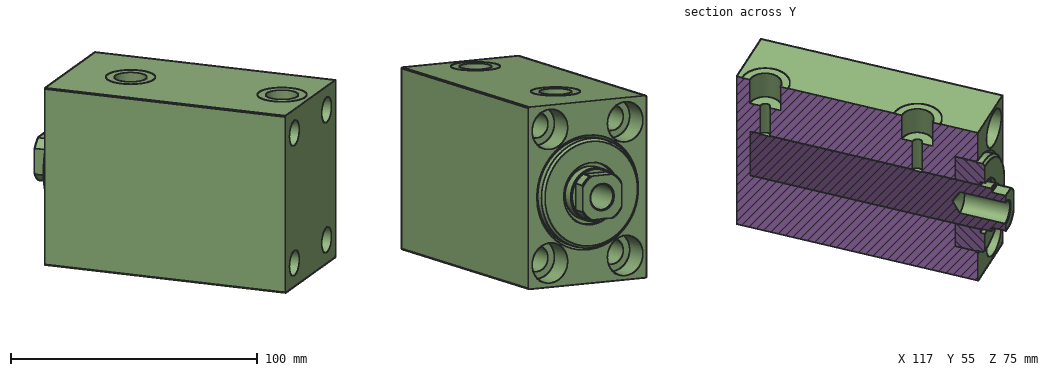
import cadquery as cq
import math


total_length = 117.0
housing_front_x = 12.0
housing_width = 55.0
housing_height = 75.0
housing_edge_chamfer = 0.5

mount_spacing_y = 35.0
mount_spacing_z = 55.0
mount_hole_diameter = 10.5
mount_counterbore_diameter = 16.5
mount_counterbore_depth = 11.0

port_positions_x = (38.5, 104.6)
port_spotface_diameter = 20.0
port_spotface_depth = 0.1
port_diameter = 13.2
port_depth = 12.0
port_passage_diameter = 4.0

gland_front_x = 9.0
gland_diameter = 45.0
gland_chamfer = 1.0
gland_depth_in_housing = 10.0
gland_recess_diameter = 25.5
gland_recess_depth = 2.0
gland_seat_chamfer = 1.0

rod_diameter = 22.0
rod_shoulder_x = 6.0
rod_chamfer = 0.5
rod_tip_chamfer = 0.4
rod_across_flats = 18.0
rod_end_clearance = 6.0
rod_hole_diameter = 10.4
rod_hole_depth = 20.0
rod_hole_chamfer = 0.4
drill_point_angle = 118.0

housing_length = total_length - housing_front_x
gland_back_x = housing_front_x + gland_depth_in_housing
rod_back_x = total_length - rod_end_clearance
rod_neck_diameter = rod_diameter - 2 * rod_chamfer


def cylinder_along_x(diameter, start_x, end_x):
    """Solid cylinder on the X axis."""
    return cq.Workplane("YZ", origin=(start_x, 0, 0)).circle(diameter / 2).extrude(end_x - start_x)


def chamfered_cylinder_along_x(diameter, start_x, end_x, chamfer):
    """Solid cylinder on the X axis with its front edge chamfered."""
    return cylinder_along_x(diameter, start_x, end_x).faces("<X").edges().chamfer(chamfer)


def cone_along_x(start_diameter, end_diameter, start_x, end_x):
    """Solid cone on the X axis; an end diameter of zero makes a point."""
    length = end_x - start_x
    cone = cq.Solid.makeCone(
        start_diameter / 2, end_diameter / 2, length, cq.Vector(start_x, 0, 0), cq.Vector(1, 0, 0)
    )
    return cq.Workplane(obj=cone)


def cut_mounting_holes(block):
    """Counterbored through holes in a rectangle on the front face."""
    hole_centers = (
        cq.Workplane("YZ", origin=(housing_front_x, 0, 0))
        .rect(mount_spacing_y, mount_spacing_z, forConstruction=True)
        .vertices()
    )
    counterbores = hole_centers.circle(mount_counterbore_diameter / 2).extrude(mount_counterbore_depth)
    through_holes = hole_centers.circle(mount_hole_diameter / 2).extrude(housing_length)
    return block.cut(counterbores).cut(through_holes)


def cut_port(block, port_x):
    """Spotfaced port with a narrow passage down to the rod."""
    top_z = housing_height / 2
    port_steps = (
        (port_spotface_diameter, port_spotface_depth),
        (port_diameter, port_depth),
        (port_passage_diameter, top_z),
    )
    for diameter, depth in port_steps:
        step = cq.Workplane("XY", origin=(port_x, 0, top_z)).circle(diameter / 2).extrude(-depth)
        block = block.cut(step)
    return block


def make_housing():
    """Block with a stepped bore for the gland and the rod, mounting holes and ports."""
    block = (
        cq.Workplane("XY")
        .box(housing_length, housing_width, housing_height)
        .translate((housing_front_x + housing_length / 2, 0, 0))
        .edges("|X")
        .chamfer(housing_edge_chamfer)
    )
    block = cut_mounting_holes(block)
    for port_x in port_positions_x:
        block = cut_port(block, port_x)

    gland_bore = cylinder_along_x(gland_diameter, housing_front_x, gland_back_x)
    seat_chamfer = cone_along_x(
        gland_diameter + 2 * gland_seat_chamfer,
        gland_diameter,
        housing_front_x,
        housing_front_x + gland_seat_chamfer,
    )
    rod_bore = cylinder_along_x(rod_diameter, gland_back_x, rod_back_x)
    return block.cut(gland_bore).cut(seat_chamfer).cut(rod_bore)


def make_gland():
    """Chamfered ring around the rod, with a shallow recess in its front face."""
    ring = chamfered_cylinder_along_x(gland_diameter, gland_front_x, gland_back_x, gland_chamfer)
    recess = cylinder_along_x(gland_recess_diameter, gland_front_x, gland_front_x + gland_recess_depth)
    rod_bore = cylinder_along_x(rod_diameter, gland_front_x, gland_back_x)
    return ring.cut(recess).cut(rod_bore)


def make_rod():
    """Rod with four wrench flats on its neck and a drilled hole in its tip."""
    shaft = chamfered_cylinder_along_x(rod_diameter, rod_shoulder_x, rod_back_x, rod_chamfer)
    square = cq.Workplane("YZ").rect(rod_across_flats, rod_across_flats).extrude(rod_shoulder_x)
    round_neck = chamfered_cylinder_along_x(rod_neck_diameter, 0, rod_shoulder_x, rod_tip_chamfer)
    neck = round_neck.intersect(square)

    point_length = rod_hole_diameter / 2 / math.tan(math.radians(drill_point_angle / 2))
    hole = cylinder_along_x(rod_hole_diameter, 0, rod_hole_depth)
    drill_point = cone_along_x(rod_hole_diameter, 0, rod_hole_depth, rod_hole_depth + point_length)
    hole_mouth_diameter = rod_hole_diameter + 2 * rod_hole_chamfer
    hole_chamfer = cone_along_x(hole_mouth_diameter, rod_hole_diameter, 0, rod_hole_chamfer)
    return shaft.union(neck).cut(hole).cut(drill_point).cut(hole_chamfer)


housing = make_housing()
gland = make_gland()
rod = make_rod()

result = cq.Compound.makeCompound([housing.val(), gland.val(), rod.val()])